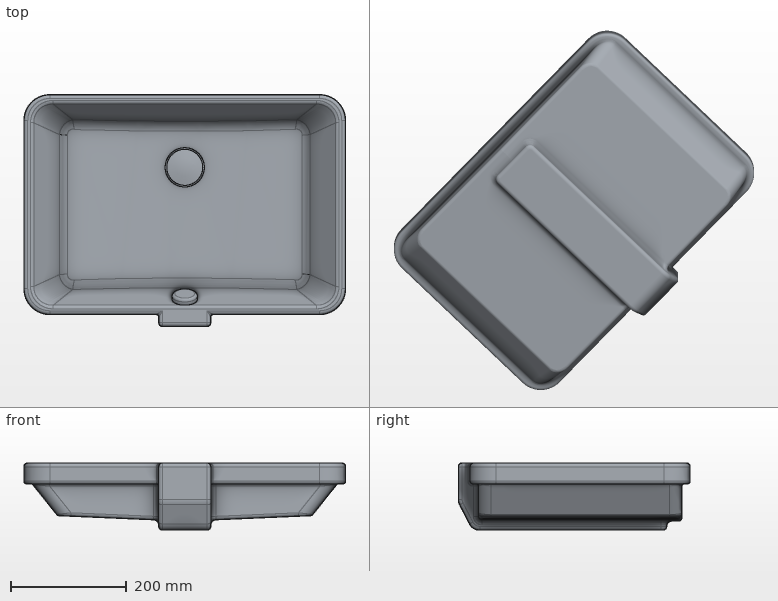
import cadquery as cq
import math

tolerance = 0.3

rim_length = 555.0
rim_width = 379.5
rim_height = 36.0
rim_corner_radius = 45.0
rim_top_fillet = 6.5
rim_bottom_fillet = 5.0

bowl_half_length_top = 263.0
bowl_half_length_bottom = 219.0
bowl_half_width = 175.5
bowl_edge_depth = 91.0
bowl_center_depth = 100.5
bowl_corner_radius = 21.0
bowl_bottom_fillet = 6.0
bowl_rim_fillet = 4.0

housing_width = 90.0
housing_front = -210.5
housing_back = 149.5
housing_depth = 116.0
slope_top_depth = 67.5
slope_bottom_front = -185.5
slope_blend_radius = 20.0
housing_edge_fillet = 6.5
housing_back_radius = 10.0
housing_bowl_fillet = 9.0

cavity_length = 525.0
cavity_width = 351.0
cavity_corner_radius = 33.5
floor_length = 411.0
floor_width = 276.5
floor_corner_radius = 22.0
floor_depth = 73.0
floor_end_depth = 62.5
floor_fillet = 19.0
cavity_lip_fillet = 7.0

drain_y = 64.5
flange_diameter = 67.5
flange_height = 1.5
flange_sink = 3.5
plug_diameter = 62.0
plug_height = 4.0
plug_dome = 4.5

cap_diameter = 44.0
cap_height = 11.0
cap_dome = 0.5
cap_edge_fillet = 5.0
cap_depth = 23.5


def make_rim():
    rim = (
        cq.Workplane("XY")
        .rect(rim_length, rim_width)
        .extrude(-rim_height)
        .edges("|Z")
        .fillet(rim_corner_radius)
    )
    rim = rim.faces(">Z").edges().fillet(rim_top_fillet)
    return rim.faces("<Z").edges().fillet(rim_bottom_fillet)


def make_bowl_shell():
    outline = [
        (-bowl_half_length_top, -rim_height),
        (-bowl_half_length_bottom, -bowl_edge_depth),
        (0, -bowl_center_depth),
        (bowl_half_length_bottom, -bowl_edge_depth),
        (bowl_half_length_top, -rim_height),
    ]
    shell = cq.Workplane("XZ").polyline(outline).close().extrude(bowl_half_width, both=True)
    shell = shell.faces("<X or >X").edges("not |Y").fillet(bowl_corner_radius)
    below_walls = cq.selectors.BoxSelector(
        (-rim_length, -rim_width, -housing_depth),
        (rim_length, rim_width, -bowl_edge_depth + tolerance),
    )
    underside_edges = shell.edges(below_walls).filter(lambda edge: abs(edge.Center().x) > tolerance)
    return underside_edges.fillet(bowl_bottom_fillet)


def make_housing():
    outline = [
        (housing_front, 0),
        (housing_front, -slope_top_depth),
        (slope_bottom_front, -housing_depth),
        (housing_back, -housing_depth),
        (housing_back, 0),
    ]
    housing = cq.Workplane("YZ").polyline(outline).close().extrude(housing_width / 2, both=True)
    slope_ends = cq.selectors.BoxSelector(
        (-housing_width, housing_front - tolerance, -housing_depth - tolerance),
        (housing_width, slope_bottom_front + tolerance, -slope_top_depth + tolerance),
    )
    housing = housing.edges("|X").edges(slope_ends).fillet(slope_blend_radius)
    housing = housing.edges("|Z and >Y").fillet(housing_back_radius)
    housing = housing.faces("<Z").edges("not(|X and <Y)").fillet(housing_edge_fillet)
    return housing.faces("<Y").edges(">Z").fillet(housing_edge_fillet)


def make_cavity():
    opening = cq.Sketch().rect(cavity_length, cavity_width).vertices().fillet(cavity_corner_radius)
    floor = cq.Sketch().rect(floor_length, floor_width).vertices().fillet(floor_corner_radius)
    floor_place = cq.Location(cq.Vector(0, 0, -floor_depth))
    funnel = cq.Workplane("XY").placeSketch(opening, floor.moved(floor_place)).loft(ruled=True)
    half_length = cavity_length / 2
    above_floor = (
        cq.Workplane("XZ")
        .moveTo(-half_length, 0)
        .lineTo(-half_length, -floor_end_depth)
        .threePointArc((0, -floor_depth), (half_length, -floor_end_depth))
        .lineTo(half_length, 0)
        .close()
        .extrude(cavity_width, both=True)
    )
    return funnel.intersect(above_floor).faces("<Z").edges().fillet(floor_fillet)


def lies_on_rim_outline(edge):
    """True for an edge of the outline of the rim's flat underside."""
    end_x = rim_length / 2 - rim_bottom_fillet
    end_y = rim_width / 2 - rim_bottom_fillet
    return all(
        abs(abs(point.x) - end_x) < tolerance or abs(abs(point.y) - end_y) < tolerance
        for point in (edge.startPoint(), edge.endPoint())
    )


def make_outer_basin():
    housing_seam = cq.selectors.BoxSelector(
        (-housing_width / 2 - tolerance, -bowl_half_width - tolerance, -bowl_center_depth - tolerance),
        (housing_width / 2 + tolerance, housing_back + tolerance, -rim_height - tolerance),
    )
    lower = make_bowl_shell().union(make_housing()).edges(housing_seam).fillet(housing_bowl_fillet)
    rim_underside = cq.selectors.BoxSelector(
        (-rim_length, -rim_width, -rim_height - tolerance),
        (rim_length, rim_width, -rim_height + tolerance),
    )
    outer = make_rim().union(lower)
    rim_seam = outer.edges(rim_underside).filter(lambda edge: not lies_on_rim_outline(edge))
    return rim_seam.fillet(bowl_rim_fillet)


def make_basin():
    basin = make_outer_basin().cut(make_cavity())
    opening = cq.selectors.BoxSelector(
        (-cavity_length / 2 - tolerance, -cavity_width / 2 - tolerance, -tolerance),
        (cavity_length / 2 + tolerance, cavity_width / 2 + tolerance, tolerance),
    )
    return basin.faces(">Z").edges(opening).fillet(cavity_lip_fillet)


def domed_disc(diameter, height, dome):
    """A disc standing on Z = 0 whose top rises by `dome` towards its centre."""
    radius = diameter / 2
    sphere_radius = (radius**2 + dome**2) / (2 * dome)
    middle = radius / 2
    middle_drop = sphere_radius - math.sqrt(sphere_radius**2 - middle**2)
    profile = (
        cq.Workplane("XZ")
        .lineTo(radius, 0)
        .lineTo(radius, height)
        .threePointArc((middle, height + dome - middle_drop), (0, height + dome))
        .close()
    )
    return profile.revolve(360, (0, 0), (0, 1))


def make_drain_flange():
    flange = cq.Workplane("XY").circle(flange_diameter / 2).extrude(flange_sink + flange_height)
    return flange.translate((0, drain_y, -floor_depth - flange_sink))


def make_drain_plug():
    plug = domed_disc(plug_diameter, plug_height, plug_dome)
    return plug.translate((0, drain_y, -floor_depth + flange_height))


def make_overflow_cap():
    wall_slope = (cavity_width - floor_width) / 2 / floor_depth
    seat_y = -cavity_width / 2 + cap_depth * wall_slope
    lean = math.degrees(math.atan(wall_slope)) - 90
    cap = domed_disc(cap_diameter, cap_height, cap_dome)
    cap = cap.faces("%CYLINDER").edges(">Z").fillet(cap_edge_fillet)
    cap = cap.rotate((0, 0, 0), (1, 0, 0), lean)
    return cap.translate((0, seat_y, -cap_depth))


drain_flange = make_drain_flange()
drain_plug = make_drain_plug()
overflow_cap = make_overflow_cap()
basin = make_basin().cut(drain_flange).cut(overflow_cap)

result = cq.Compound.makeCompound(
    [basin.val(), drain_flange.val(), drain_plug.val(), overflow_cap.val()]
)